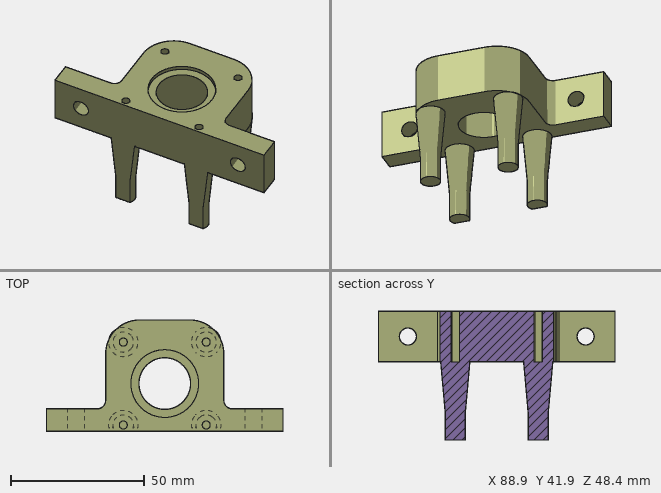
import cadquery as cq

FLANGE_LENGTH = 88.9
FLANGE_THICKNESS = 8.5
BLOCK_WIDTH = 44.45
BLOCK_DEPTH = 41.9
BLOCK_HEIGHT = 19.1
REAR_CORNER_RADIUS = 12.9
INNER_CORNER_RADIUS = 3.0

BORE_Y = 18.0
BORE_DIAMETER = 19.3
COUNTERBORE_DIAMETER = 25.4
COUNTERBORE_DEPTH = 1.5

LEG_SPACING = 31.1
LEG_ROOT_DIAMETER = 11.0
LEG_TIP_DIAMETER = 7.65
LEG_LENGTH = 29.3
LEG_TIP_LENGTH = 10.4
LEG_TAPER_LENGTH = LEG_LENGTH - LEG_TIP_LENGTH
LEG_HOLE_DIAMETER = 3.0
LEG_HOLE_DEPTH = BLOCK_HEIGHT

MOUNT_HOLE_DIAMETER = 6.3
MOUNT_HOLE_SPACING = 66.7

LEG_CENTRES = [
    (side * LEG_SPACING / 2, BORE_Y + end * LEG_SPACING / 2)
    for side in (-1, 1)
    for end in (-1, 1)
]


def make_body():
    """Rounded block merged with the flange along its front."""
    flange = cq.Workplane("XY").box(
        FLANGE_LENGTH, FLANGE_THICKNESS, BLOCK_HEIGHT, centered=(True, False, False)
    )
    block = cq.Workplane("XY").box(
        BLOCK_WIDTH, BLOCK_DEPTH, BLOCK_HEIGHT, centered=(True, False, False)
    )
    block = block.edges("|Z and >Y").fillet(REAR_CORNER_RADIUS)
    body = flange.union(block).translate((0, 0, -BLOCK_HEIGHT))
    inner_corners = cq.selectors.BoxSelector(
        (-BLOCK_WIDTH / 2 - 0.9, FLANGE_THICKNESS - 0.9, -BLOCK_HEIGHT),
        (BLOCK_WIDTH / 2 + 0.9, FLANGE_THICKNESS + 0.9, 0),
    )
    return body.edges("|Z").edges(inner_corners).fillet(INNER_CORNER_RADIUS)


def make_legs():
    """Four tapered legs with straight tips, cut flush with the front face."""
    root_radius = LEG_ROOT_DIAMETER / 2
    tip_radius = LEG_TIP_DIAMETER / 2
    leg = (
        cq.Workplane("XZ")
        .lineTo(root_radius, 0)
        .lineTo(tip_radius, -LEG_TAPER_LENGTH)
        .lineTo(tip_radius, -LEG_LENGTH)
        .lineTo(0, -LEG_LENGTH)
        .close()
        .revolve(360, (0, 0, 0), (0, 1, 0))
    )
    legs = cq.Workplane("XY")
    for x, y in LEG_CENTRES:
        legs = legs.add(leg.translate((x, y, -BLOCK_HEIGHT)))
    behind_front_face = cq.Workplane("XY").box(
        FLANGE_LENGTH, FLANGE_LENGTH, LEG_LENGTH, centered=(True, False, False)
    ).translate((0, 0, -BLOCK_HEIGHT - LEG_LENGTH))
    return legs.combine().intersect(behind_front_face)


def hole_from_top(x, y, diameter, depth):
    return cq.Workplane("XY").center(x, y).circle(diameter / 2).extrude(-depth)


result = make_body().union(make_legs())

result = result.cut(hole_from_top(0, BORE_Y, BORE_DIAMETER, BLOCK_HEIGHT))
result = result.cut(hole_from_top(0, BORE_Y, COUNTERBORE_DIAMETER, COUNTERBORE_DEPTH))

for leg_x, leg_y in LEG_CENTRES:
    result = result.cut(hole_from_top(leg_x, leg_y, LEG_HOLE_DIAMETER, LEG_HOLE_DEPTH))

for side in (-1, 1):
    mount_hole = (
        cq.Workplane("XZ")
        .center(side * MOUNT_HOLE_SPACING / 2, -BLOCK_HEIGHT / 2)
        .circle(MOUNT_HOLE_DIAMETER / 2)
        .extrude(-FLANGE_THICKNESS)
    )
    result = result.cut(mount_hole)